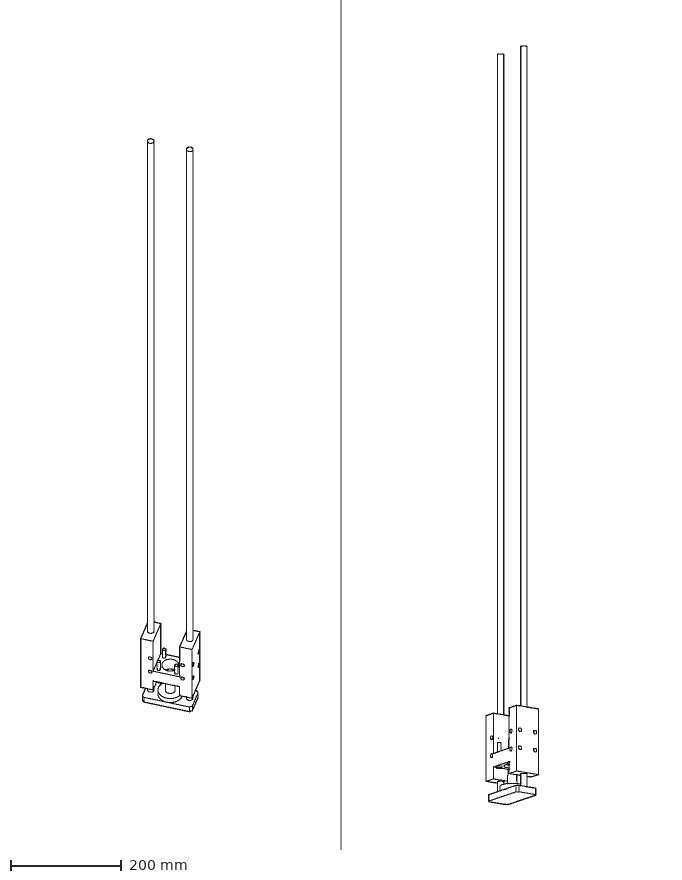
import cadquery as cq

total_height = 1387.0
unit_width = 97.0
unit_depth = 49.0

plate_width = 95.0
plate_depth = 45.0
plate_thickness = 12.0
plate_corner_chamfer = 4.0
rod_diameter = 12.0
rod_spacing = 74.0
flange_diameter = 45.0
flange_top = 22.0
stud_base_diameter = 18.0
stud_tip_diameter = 15.0
stud_top = 53.0
stud_hole_diameter = 6.0
stud_hole_depth = 12.0

housing_bottom = 37.0
housing_height = 122.0
leg_gap = 50.0
web_bottom = 60.0
web_thickness = 25.0
web_bore_diameter = 30.0

hole_pitch = 33.0
front_hole_spacing = 61.0
hole_diameter = 6.7
hole_depth = 12.0

screw_diameter = 6.0
screw_protrusion = 20.0
head_diameter = 10.0
head_protrusion = 3.0

housing_top = housing_bottom + housing_height
hole_middle_height = housing_bottom + housing_height / 2
web_top = web_bottom + web_thickness
rod_points = [(-rod_spacing / 2, 0), (rod_spacing / 2, 0)]
screw_points = [(x * hole_pitch / 2, y * hole_pitch / 2) for x in (-1, 1) for y in (-1, 1)]


def cylinders(diameter, bottom, top, points=((0, 0),)):
    """Upright cylinders on the given X, Y points."""
    return (
        cq.Workplane("XY", origin=(0, 0, bottom))
        .pushPoints(points)
        .circle(diameter / 2)
        .extrude(top - bottom)
    )


def block(width, bottom, top, depth=unit_depth):
    """A centred block, by default as deep as the whole unit."""
    return cq.Workplane("XY", origin=(0, 0, bottom)).rect(width, depth).extrude(top - bottom)


def make_plate():
    """End plate with bevelled corners."""
    plate = block(plate_width, 0, plate_thickness, plate_depth)
    return plate.edges("|Z").chamfer(plate_corner_chamfer)


def make_coupling():
    """Flange with a slightly tapered stud, drilled from the top."""
    flange = cylinders(flange_diameter, plate_thickness, flange_top)
    stud = (
        cq.Workplane("XY", origin=(0, 0, flange_top))
        .circle(stud_base_diameter / 2)
        .workplane(offset=stud_top - flange_top)
        .circle(stud_tip_diameter / 2)
        .loft(ruled=True)
    )
    hole = cylinders(stud_hole_diameter, stud_top - stud_hole_depth, stud_top)
    return flange.union(stud).cut(hole)


def make_yoke():
    """Plate, coupling and guide rods, which slide as one body."""
    rods = cylinders(rod_diameter, plate_thickness, total_height, rod_points)
    return make_plate().union(make_coupling()).union(rods)


def face_holes(plane, spacing, face_distance):
    """Four blind holes in each of the two opposite faces parallel to the plane."""
    holes = cq.Workplane("XY")
    for start in (face_distance - hole_depth, -face_distance):
        drills = (
            cq.Workplane(plane)
            .workplane(offset=start)
            .center(0, hole_middle_height)
            .rect(spacing, hole_pitch, forConstruction=True)
            .vertices()
            .circle(hole_diameter / 2)
            .extrude(hole_depth)
        )
        holes = holes.add(drills.vals())
    return holes.combine()


def make_h_block():
    """Two legs joined by a web, bored for the guide rods and the cylinder neck."""
    h_block = block(unit_width, housing_bottom, housing_top)
    h_block = h_block.cut(block(leg_gap, web_top, housing_top))
    h_block = h_block.cut(block(leg_gap, housing_bottom, web_bottom))
    h_block = h_block.cut(cylinders(rod_diameter, housing_bottom, housing_top, rod_points))
    return h_block.cut(cylinders(web_bore_diameter, web_bottom, web_top))


def make_screw_ends():
    """Shanks standing on the web and heads hanging below it."""
    shanks = cylinders(screw_diameter, web_top, web_top + screw_protrusion, screw_points)
    heads = cylinders(head_diameter, web_bottom - head_protrusion, web_bottom, screw_points)
    return shanks.add(heads.vals())


def make_housing():
    """H-shaped guide housing with its screws and mounting holes."""
    housing = make_h_block()
    for screw_end in make_screw_ends().solids().vals():
        housing = housing.union(cq.Workplane(screw_end))
    housing = housing.cut(face_holes("XZ", front_hole_spacing, unit_depth / 2))
    return housing.cut(face_holes("YZ", hole_pitch, unit_width / 2))


yoke = make_yoke()
housing = make_housing()

result = cq.Compound.makeCompound([yoke.val(), housing.val()])